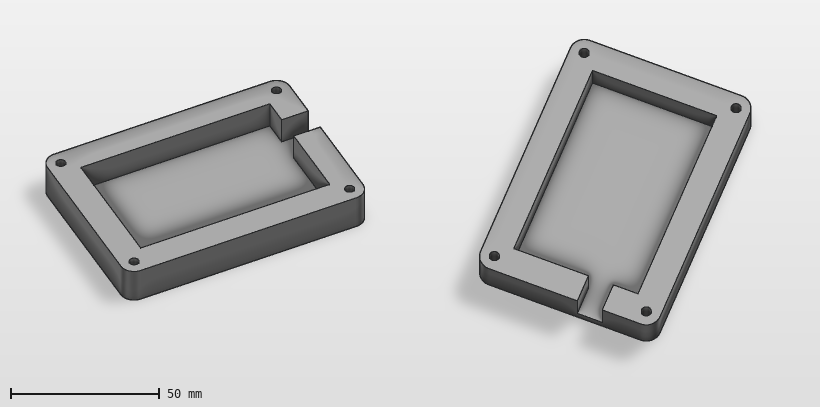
import cadquery as cq

length = 91.0
width = 65.0
height = 13.0
corner_radius = 5.0

wall = 10.0
floor_thickness = 3.0

slot_width = 9.0
slot_offset = 18.9

hole_diameter = 3.4
hole_depth = 10.0

pocket_depth = height - floor_thickness


def make_block():
    block = cq.Workplane("XY").box(width, length, height, centered=(True, True, False))
    return block.edges("|Z").fillet(corner_radius)


def make_pocket():
    return (
        cq.Workplane("XY", origin=(0, 0, floor_thickness))
        .rect(width - 2 * wall, length - 2 * wall)
        .extrude(pocket_depth)
    )


def make_slot():
    slot_x = -width / 2 + slot_offset + slot_width / 2
    slot_y = length / 2 - wall / 2
    return (
        cq.Workplane("XY", origin=(slot_x, slot_y, floor_thickness))
        .rect(slot_width, wall)
        .extrude(pocket_depth)
    )


def make_screw_holes():
    return (
        cq.Workplane("XY", origin=(0, 0, height))
        .rect(width - 2 * corner_radius, length - 2 * corner_radius, forConstruction=True)
        .vertices()
        .circle(hole_diameter / 2)
        .extrude(-hole_depth)
    )


result = make_block().cut(make_pocket()).cut(make_slot()).cut(make_screw_holes())